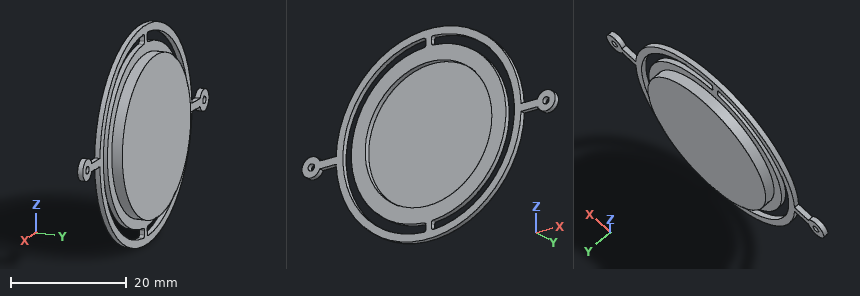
import cadquery as cq

overall_length = 54.0
overall_depth = 3.0

ring_diameter = 39.5
ring_inner_diameter = 36.5
disc_diameter = 33.0
plate_thickness = 1.0

bridge_width = 1.2
bridge_fillet = 0.5

boss_diameter = 29.25
recess_diameter = 27.0
recess_depth = plate_thickness

arm_width = 1.5
eyelet_diameter = 4.0
eyelet_hole_diameter = 1.3
eyelet_offset = (overall_length - eyelet_diameter) / 2
ring_middle_radius = (ring_diameter + ring_inner_diameter) / 4


def front_plane():
    """Plane of the front face (Y = 0); extruding by a negative distance goes toward +Y."""
    return cq.Workplane("XZ")


def cylinder(diameter, depth):
    return front_plane().circle(diameter / 2).extrude(-depth)


def make_slots():
    """Two arc-shaped openings, separated by the bridges, with rounded corners."""
    gap = cylinder(ring_inner_diameter, plate_thickness).cut(cylinder(disc_diameter, plate_thickness))
    bridges = front_plane().rect(bridge_width, ring_diameter).extrude(-plate_thickness)
    return gap.cut(bridges).edges("|Y").fillet(bridge_fillet)


def make_arm(side):
    """Arm and eyelet; side is -1 for -X and +1 for +X."""
    arm_length = eyelet_offset - ring_middle_radius
    arm_center = (eyelet_offset + ring_middle_radius) / 2
    bar = front_plane().center(side * arm_center, 0).rect(arm_length, arm_width).extrude(-plate_thickness)
    eyelet = cylinder(eyelet_diameter, plate_thickness).translate((side * eyelet_offset, 0, 0))
    hole = cylinder(eyelet_hole_diameter, plate_thickness).translate((side * eyelet_offset, 0, 0))
    return bar.union(eyelet).cut(hole)


result = cylinder(ring_diameter, plate_thickness).cut(make_slots())
result = result.union(cylinder(boss_diameter, overall_depth))

result = result.cut(cylinder(recess_diameter, recess_depth))

for side in (-1, 1):
    result = result.union(make_arm(side))